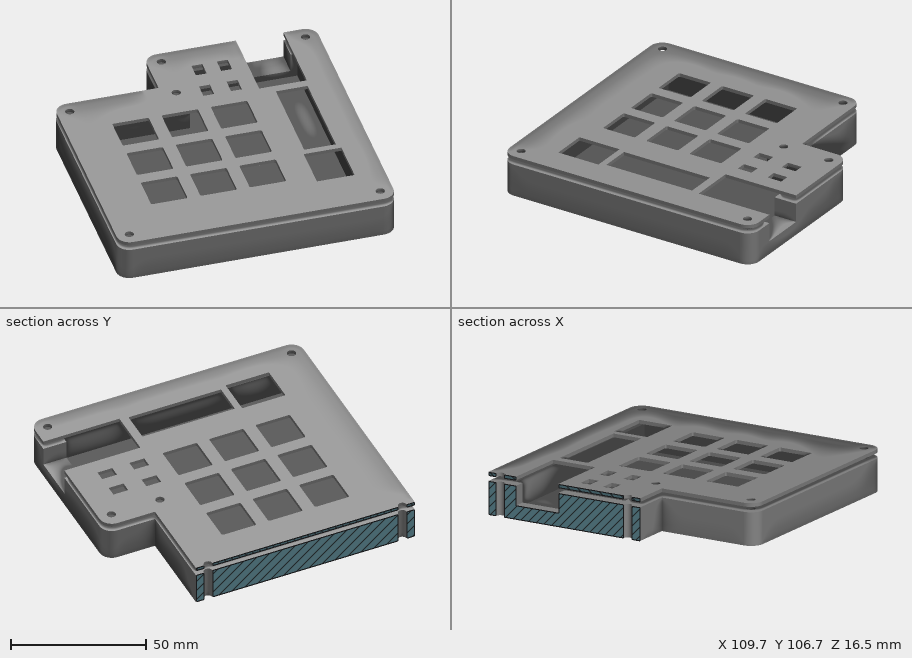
import cadquery as cq

WIDTH = 109.7
DEPTH = 106.7
STEP_X = 20.3
STEP_Y = 40.7
PLATE_FRONT = 0.1
CORNER_RADIUS = 5.0

BASE_HEIGHT = 12.9
PLATE_THICKNESS = 1.4
TOTAL_HEIGHT = 16.5
PLATE_BOTTOM = TOTAL_HEIGHT - PLATE_THICKNESS

HOLE_DIAMETER = 3.4
HOLE_INSET = 5.0
LOBE_HOLE_Y = 46.2
STEP_HOLE_X = 24.9
HOLE_POINTS = [
    (HOLE_INSET, DEPTH - HOLE_INSET),
    (WIDTH - HOLE_INSET, DEPTH - HOLE_INSET),
    (WIDTH - HOLE_INSET, HOLE_INSET),
    (STEP_X + HOLE_INSET, HOLE_INSET),
    (HOLE_INSET, LOBE_HOLE_Y),
    (STEP_HOLE_X, LOBE_HOLE_Y),
]

WALL = 9.4
RIGHT_WALL = 10.4
FLOOR_THICKNESS = 2.7

SLOT_FRONT = 76.4
SLOT_BACK = 94.7
SLOT_LENGTH = 31.0
NOTCH_FLOOR = 5.4

DISPLAY_SIZE = (37.7, 12.2)
DISPLAY_CENTER = (53.3, 87.9)
ENCODER_SIZE = (17.7, 14.5)
ENCODER_CENTER = (83.6, 88.1)
SMALL_WINDOW_SIZE = (6.0, 4.2)
SMALL_WINDOW_CENTERS = [(13.6, 68.0), (26.7, 68.0), (13.6, 58.3), (26.7, 57.4)]

KEY_COUNT = 3
KEY_PITCH = 19.0
KEY_SIZE = 14.0
KEY_CORNER_RADIUS = 0.7
FIRST_KEY_X = 44.1
FIRST_KEY_Y = 25.0


def outlined_slab(front, bottom, height):
    """Slab with the shared outline from a given front face, rounded at its outside corners."""
    slab = (
        cq.Workplane("XY", origin=(0, 0, bottom))
        .moveTo(STEP_X, front)
        .lineTo(WIDTH, front)
        .lineTo(WIDTH, DEPTH)
        .lineTo(0, DEPTH)
        .lineTo(0, STEP_Y)
        .lineTo(STEP_X, STEP_Y)
        .close()
        .extrude(height)
    )
    outside_corners = [(STEP_X, front), (WIDTH, front), (WIDTH, DEPTH), (0, DEPTH), (0, STEP_Y)]
    for x, y in outside_corners:
        corner = cq.selectors.NearestToPointSelector((x, y, bottom + height / 2))
        slab = slab.edges("|Z").edges(corner).fillet(CORNER_RADIUS)
    return slab


def screw_holes():
    """Cylinders that run through the full height of the assembly."""
    return (
        cq.Workplane("XY")
        .pushPoints(HOLE_POINTS)
        .circle(HOLE_DIAMETER / 2)
        .extrude(TOTAL_HEIGHT)
    )


def slot_block(length, bottom, top):
    """Block that opens the left side over the slot's depth."""
    return (
        cq.Workplane("XY", origin=(0, SLOT_FRONT, bottom))
        .box(length, SLOT_BACK - SLOT_FRONT, top - bottom, centered=False)
    )


def cavity():
    """Open-topped cavity of the base, stepped like the outline."""
    return (
        cq.Workplane("XY", origin=(0, 0, FLOOR_THICKNESS))
        .moveTo(STEP_X + WALL, WALL)
        .lineTo(WIDTH - RIGHT_WALL, WALL)
        .lineTo(WIDTH - RIGHT_WALL, DEPTH - WALL)
        .lineTo(WALL, DEPTH - WALL)
        .lineTo(WALL, STEP_Y + WALL)
        .lineTo(STEP_X + WALL, STEP_Y + WALL)
        .close()
        .extrude(BASE_HEIGHT - FLOOR_THICKNESS)
    )


def plate_window(size, centers):
    """Rectangular windows of one size through the plate."""
    return (
        cq.Workplane("XY", origin=(0, 0, PLATE_BOTTOM))
        .pushPoints(centers)
        .rect(*size)
        .extrude(PLATE_THICKNESS)
    )


def key_windows():
    """Square grid of round-cornered key switch windows."""
    centers = [
        (FIRST_KEY_X + column * KEY_PITCH, FIRST_KEY_Y + row * KEY_PITCH)
        for column in range(KEY_COUNT)
        for row in range(KEY_COUNT)
    ]
    windows = plate_window((KEY_SIZE, KEY_SIZE), centers)
    return windows.edges("|Z").fillet(KEY_CORNER_RADIUS)


def make_base():
    base = outlined_slab(0, 0, BASE_HEIGHT)
    base = base.cut(cavity())
    base = base.cut(slot_block(WALL, NOTCH_FLOOR, BASE_HEIGHT))
    return base.cut(screw_holes())


def make_plate():
    plate = outlined_slab(PLATE_FRONT, PLATE_BOTTOM, PLATE_THICKNESS)
    plate = plate.cut(slot_block(SLOT_LENGTH, PLATE_BOTTOM, TOTAL_HEIGHT))
    plate = plate.cut(plate_window(DISPLAY_SIZE, [DISPLAY_CENTER]))
    plate = plate.cut(plate_window(ENCODER_SIZE, [ENCODER_CENTER]))
    plate = plate.cut(plate_window(SMALL_WINDOW_SIZE, SMALL_WINDOW_CENTERS))
    plate = plate.cut(key_windows())
    return plate.cut(screw_holes())


base = make_base()
plate = make_plate()
result = cq.Compound.makeCompound([base.val(), plate.val()])